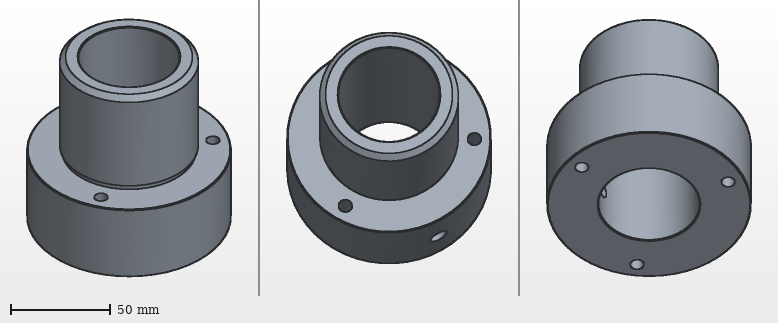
import cadquery as cq

total_height = 100.0
flange_diameter = 103.0
flange_height = 42.0
flange_chamfer = 0.5

sleeve_diameter = 70.0
sleeve_chamfer = 3.0
relief_diameter = 68.0
relief_height = 3.0

bore_diameter = 51.0
bore_chamfer = 0.5

hole_diameter = 6.8
hole_circle_radius = 43.0
hole_count = 3
first_hole_angle = 30.0

radial_hole_diameter = 9.3
radial_hole_height = flange_height / 2


def cylinder(diameter, bottom, height):
    """Vertical cylinder on the Z axis."""
    return cq.Workplane("XY").workplane(offset=bottom).circle(diameter / 2).extrude(height)


flange = cylinder(flange_diameter, 0, flange_height).edges().chamfer(flange_chamfer)

sleeve_bottom = flange_height + relief_height
relief = cylinder(relief_diameter, flange_height, relief_height)
sleeve = cylinder(sleeve_diameter, sleeve_bottom, total_height - sleeve_bottom)
sleeve = sleeve.faces(">Z").edges().chamfer(sleeve_chamfer)

bore_radius = bore_diameter / 2
mouth_radius = bore_radius + bore_chamfer
bore = (
    cq.Workplane("XZ")
    .moveTo(0, 0)
    .lineTo(mouth_radius, 0)
    .lineTo(bore_radius, bore_chamfer)
    .lineTo(bore_radius, total_height - bore_chamfer)
    .lineTo(mouth_radius, total_height)
    .lineTo(0, total_height)
    .close()
    .revolve(360, (0, 0, 0), (0, 1, 0))
)

bolt_holes = (
    cq.Workplane("XY")
    .polarArray(hole_circle_radius, first_hole_angle, 360, hole_count)
    .circle(hole_diameter / 2)
    .extrude(flange_height)
)

radial_hole = (
    cq.Workplane("XZ")
    .center(0, radial_hole_height)
    .circle(radial_hole_diameter / 2)
    .extrude(-flange_diameter / 2)
)

body = flange.union(relief).union(sleeve)
result = body.cut(bore).cut(bolt_holes).cut(radial_hole)